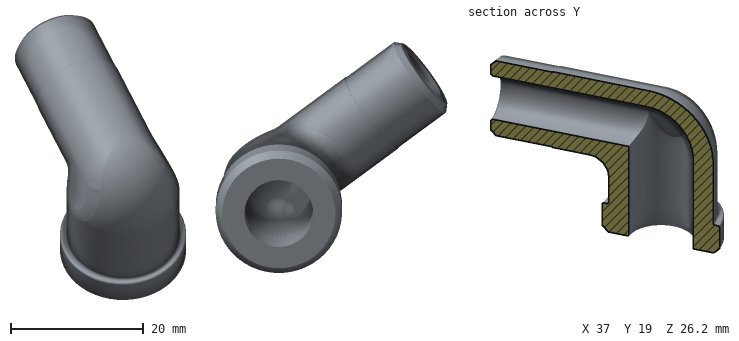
import cadquery as cq
import math

total_length = 37.0
total_height = 26.2

collar_diameter = 19.0
collar_height = 5.0
collar_chamfer = 1.0
collar_edge_radius = 0.3
foot_radius = 0.3
leg_diameter = 17.0
leg_straight_top = 15.65

tube_diameter = 13.35
spigot_diameter = 13.17
spigot_tip_diameter = 11.45
spigot_length = 10.0

throat_radius = 3.0
flank_radius = 4.0

tube_bore_diameter = 7.5
tube_bore_chamfer = 0.3
mouth_angle = 45.0
leg_bore_diameter = 10.35

crown_overlap = 0.007
margin = 0.05

axis_height = total_height - tube_diameter / 2
tip_x = collar_diameter / 2 - total_length
shoulder_x = tip_x + spigot_length


def cylinder_along_x(x_start, x_end, diameter):
    """Solid cylinder on the tube axis between two X positions."""
    start = cq.Workplane("YZ", origin=(x_start, 0, axis_height))
    return start.circle(diameter / 2).extrude(x_end - x_start)


def box_to_right(x_start, z_start, height):
    """Box wider than the leg, on the +X side of x_start."""
    start = cq.Workplane("XY", origin=(x_start, 0, z_start))
    return start.box(collar_diameter, collar_diameter, height, centered=(False, True, False))


def flank_touch_point(leg_radius, tube_radius):
    """Y and Z where the line from the top of the straight leg touches the tube circle."""
    drop = axis_height - leg_straight_top
    reach = math.hypot(leg_radius, drop)
    angle = math.acos(tube_radius / reach) - math.atan2(drop, leg_radius)
    return tube_radius * math.cos(angle), axis_height + tube_radius * math.sin(angle)


def bend_axis_x(leg_radius, tube_radius):
    """X of the Y-parallel axis about which the leg bends over to meet the tube's top."""
    bend_height = axis_height + tube_radius + crown_overlap - leg_straight_top
    return leg_radius - bend_height


def make_flanked_prism(leg_radius, tube_radius):
    """Prism along X: the top of the tube with flanks sloping out to the leg width."""
    touch_y, touch_z = flank_touch_point(leg_radius, tube_radius)
    return (
        cq.Workplane("YZ", origin=(-leg_radius, 0, 0))
        .moveTo(-leg_radius, 0)
        .lineTo(leg_radius, 0)
        .lineTo(leg_radius, leg_straight_top)
        .lineTo(touch_y, touch_z)
        .threePointArc((0, axis_height + tube_radius), (-touch_y, touch_z))
        .lineTo(-leg_radius, leg_straight_top)
        .close()
        .extrude(2 * leg_radius)
    )


def make_bent_leg(leg_radius, tube_radius):
    """Leg whose outer half turns over to the tube, trimmed to the sloping flanks."""
    uncut_height = 2 * total_height
    bend_x = bend_axis_x(leg_radius, tube_radius)
    touch_z = flank_touch_point(leg_radius, tube_radius)[1]

    upright = (
        cq.Workplane("XY")
        .circle(leg_radius)
        .extrude(uncut_height)
        .cut(box_to_right(0, leg_straight_top, uncut_height))
        .cut(box_to_right(bend_x, touch_z, uncut_height))
    )
    bend = (
        cq.Workplane("XY", origin=(0, 0, leg_straight_top))
        .moveTo(0, -leg_radius)
        .threePointArc((leg_radius, 0), (0, leg_radius))
        .close()
        .revolve(90, (bend_x, 0, 0), (bend_x, -1, 0))
        .cut(box_to_right(-collar_diameter, leg_straight_top, touch_z - leg_straight_top))
    )
    prism = make_flanked_prism(leg_radius, tube_radius)
    return upright.intersect(prism).union(bend.intersect(prism)).clean()


def make_head():
    """Outside of the leg and bend, with the rim of the flanks rounded."""
    leg_radius = leg_diameter / 2
    head = make_bent_leg(leg_radius, tube_diameter / 2)
    rim_zone = cq.selectors.BoxSelector(
        (-leg_radius, -leg_radius, leg_straight_top + margin),
        (leg_radius, leg_radius, total_height),
    )
    return head.edges(rim_zone).edges("not |X").fillet(flank_radius)


def make_tube():
    """Tube with a slightly thinner spigot, chamfered at its tip."""
    bend_x = bend_axis_x(leg_diameter / 2, tube_diameter / 2)
    tube = cylinder_along_x(shoulder_x, bend_x, tube_diameter)
    spigot = cylinder_along_x(tip_x, shoulder_x, spigot_diameter)
    tip_chamfer = (spigot_diameter - spigot_tip_diameter) / 2
    return tube.union(spigot.faces("<X").chamfer(tip_chamfer))


def make_collar():
    """Ring around the foot of the leg, chamfered below and rounded on its upper edge."""
    ring = cq.Workplane("XY").circle(collar_diameter / 2).extrude(collar_height)
    return ring.faces("<Z").chamfer(collar_chamfer).faces(">Z").edges().fillet(collar_edge_radius)


def round_throat(elbow):
    """Fillet where the underside of the tube meets the leg."""
    throat_zone = cq.selectors.BoxSelector(
        (-leg_diameter / 2 - margin, -margin, axis_height - tube_diameter / 2 - margin),
        (-tube_diameter / 2, margin, axis_height),
    )
    return elbow.edges(throat_zone).fillet(throat_radius)


def round_foot(elbow):
    """Fillet where the leg meets the top of the collar."""
    reach = leg_diameter / 2 + margin
    foot_zone = cq.selectors.BoxSelector(
        (-reach, -reach, collar_height - margin),
        (reach, reach, collar_height + margin),
        boundingbox=True,
    )
    return elbow.edges(foot_zone).fillet(foot_radius)


def make_passage():
    """Bore along the tube that turns down into the wider bore of the leg."""
    leg_bore_radius = leg_bore_diameter / 2
    bore_radius = tube_bore_diameter / 2
    leg_bore = make_bent_leg(leg_bore_radius, bore_radius)
    bend_x = bend_axis_x(leg_bore_radius, bore_radius)
    tube_bore = cylinder_along_x(tip_x, bend_x, tube_bore_diameter)
    mouth = (
        cq.Workplane("YZ", origin=(tip_x, 0, axis_height))
        .circle(bore_radius + tube_bore_chamfer)
        .extrude(tube_bore_chamfer, taper=mouth_angle)
    )
    return leg_bore.union(tube_bore).union(mouth)


elbow = round_throat(make_head().union(make_tube()).clean())
elbow = round_foot(elbow.union(make_collar()))
result = elbow.cut(make_passage())